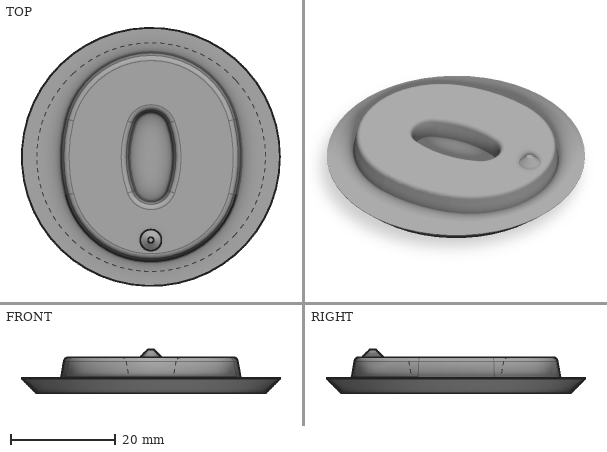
import cadquery as cq
import math

rim_radius = 24.82
disc_height = 3
lip_height = 0.15
flare_run = disc_height - lip_height

ring_height = 4.0
draft_angle = 10
edge_radius = 1
outer_half_width = 17.35
outer_half_length = 20.1
hole_half_width = 4.2
hole_half_length = 8.55
outer_end_radius = 16.95
hole_end_radius = 3.3
toe_radius = 0.2

pip_base_radius = 2.05
pip_tip_radius = 0.55
pip_height = 1.5
pip_y = -16.0


def make_disc():
    bottom_radius = rim_radius - flare_run
    profile = (
        cq.Workplane("XZ")
        .lineTo(bottom_radius, 0)
        .lineTo(rim_radius, flare_run)
        .lineTo(rim_radius, disc_height)
        .lineTo(0, disc_height)
        .close()
    )
    return profile.revolve(360, (0, 0, 0), (0, 1, 0))


def oval(half_width, half_length, end_radius):
    """Closed oval on the disc top: two end arcs and two flatter side arcs, all tangent."""
    end_center_y = half_length - end_radius
    side_radius = (half_width**2 + end_center_y**2 - end_radius**2) / (2 * (half_width - end_radius))
    side_center_offset = side_radius - half_width
    join_angle = math.atan2(end_center_y, side_center_offset)
    join_x = end_radius * math.cos(join_angle)
    join_y = end_center_y + end_radius * math.sin(join_angle)
    return (
        cq.Workplane("XY", origin=(0, 0, disc_height))
        .moveTo(join_x, -join_y)
        .threePointArc((half_width, 0), (join_x, join_y))
        .threePointArc((0, half_length), (-join_x, join_y))
        .threePointArc((-half_width, 0), (-join_x, -join_y))
        .threePointArc((0, -half_length), (join_x, -join_y))
        .close()
    )


def make_ring():
    outer = oval(outer_half_width, outer_half_length, outer_end_radius)
    hole = oval(hole_half_width, hole_half_length, hole_end_radius)
    body = outer.extrude(ring_height, taper=draft_angle)
    opening = hole.extrude(ring_height, taper=-draft_angle)
    return body.cut(opening).faces(">Z").edges().fillet(edge_radius)


def make_pip():
    return (
        cq.Workplane("XY", origin=(0, pip_y, disc_height + ring_height))
        .circle(pip_base_radius)
        .workplane(offset=pip_height)
        .circle(pip_tip_radius)
        .loft(ruled=True)
    )


def fillet_ring_toe(body):
    """Round the ring's foot, inside and outside, leaving the disc rim sharp."""
    search_half_size = (rim_radius + outer_half_length) / 2
    search_half_height = lip_height / 2
    foot_zone = cq.selectors.BoxSelector(
        (-search_half_size, -search_half_size, disc_height - search_half_height),
        (search_half_size, search_half_size, disc_height + search_half_height),
        boundingbox=True,
    )
    return body.edges(foot_zone).fillet(toe_radius)


result = fillet_ring_toe(make_disc().union(make_ring())).union(make_pip())